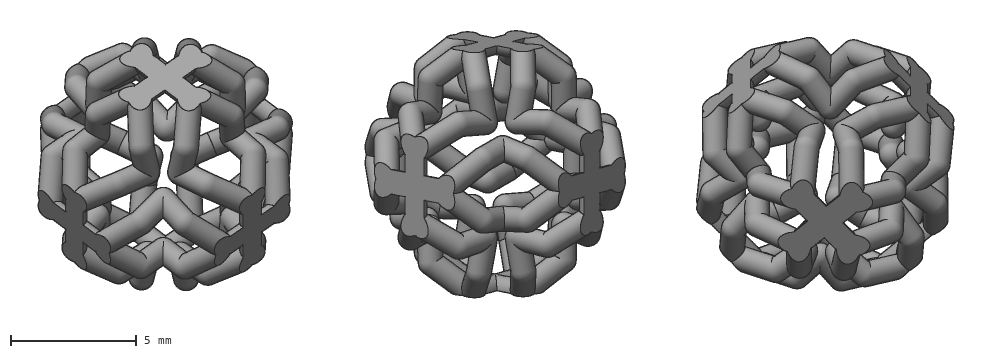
import cadquery as cq

cube_side = 10.0
strut_diameter = 1.0
arm_length = 1.42
joint_near = 1.44
joint_far = 2.36

half_side = cube_side / 2
strut_radius = strut_diameter / 2

elbow_near = cube_side / 8
elbow_middle = 2 * elbow_near
elbow_far = 3 * elbow_near


def strut(start, end):
    """Round bar between two points."""
    start = cq.Vector(*start)
    axis = cq.Vector(*end) - start
    return cq.Solid.makeCylinder(strut_radius, axis.Length, start, axis)


def ball(centre):
    """Sphere that rounds off the meeting of struts at a node."""
    centre = cq.Vector(*centre)
    return cq.Workplane("XY").sphere(strut_radius).val().translate(centre)


def on_axes(order, values):
    """Point whose values[i] lies along axis order[i] (0 = X, 1 = Y, 2 = Z)."""
    point = [0.0, 0.0, 0.0]
    for axis, value in zip(order, values):
        point[axis] = value
    return tuple(point)


axis_orders = [(0, 1, 2), (0, 2, 1), (1, 0, 2), (1, 2, 0), (2, 0, 1), (2, 1, 0)]
pieces = []
for order in axis_orders:
    face_centre = on_axes(order, (0, 0, half_side))
    arm_end = on_axes(order, (0, arm_length, half_side))
    elbow = on_axes(order, (elbow_near, elbow_middle, elbow_far))
    joint = on_axes(order, (joint_near, joint_far, joint_far))
    pieces += [
        strut(face_centre, arm_end),
        strut(arm_end, elbow),
        strut(elbow, joint),
        ball(arm_end),
        ball(elbow),
        ball(joint),
    ]

octant_box = cq.Workplane("XY").box(half_side, half_side, half_side, centered=False)
octant = cq.Workplane(pieces[0].fuse(*pieces[1:])).intersect(octant_box)

result = octant
for middle_plane in ("YZ", "XZ", "XY"):
    result = result.union(result.mirror(middle_plane))